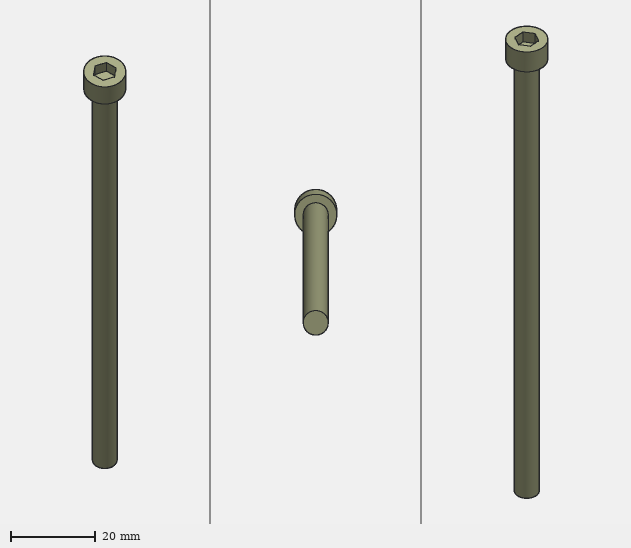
import cadquery as cq
import math

total_length = 136.0
head_diameter = 10.0
head_height = 6.0
shank_diameter = 6.0
socket_across_flats = 5.0
socket_depth = 3.0
socket_turn = 7.0

shank_length = total_length - head_height
socket_across_corners = socket_across_flats / math.cos(math.radians(30))

shank = cq.Workplane("XY").circle(shank_diameter / 2).extrude(shank_length)

head = (
    cq.Workplane("XY")
    .workplane(offset=shank_length)
    .circle(head_diameter / 2)
    .extrude(head_height)
)

socket = (
    cq.Workplane("XY")
    .workplane(offset=total_length)
    .transformed(rotate=(0, 0, socket_turn))
    .polygon(6, socket_across_corners)
    .extrude(-socket_depth)
)

result = shank.union(head).cut(socket)